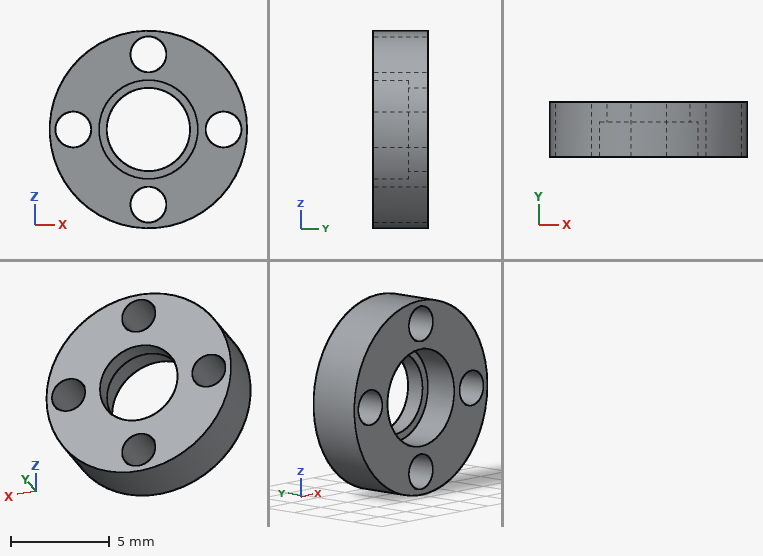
import cadquery as cq

outer_diameter = 10.0
thickness = 2.8

bore_diameter = 4.2
counterbore_diameter = 5.0
counterbore_depth = 1.8

bolt_hole_diameter = 1.8
bolt_circle_diameter = 7.6
bolt_hole_count = 4

front_y = -thickness / 2


def cylinder_from_front(diameter, depth):
    """Cylinder on the ring axis, running from the -Y face toward +Y."""
    return cq.Workplane("XZ", origin=(0, front_y, 0)).circle(diameter / 2).extrude(-depth)


def bolt_holes():
    """Through cylinders evenly spaced on the bolt circle."""
    return (
        cq.Workplane("XZ", origin=(0, front_y, 0))
        .polarArray(bolt_circle_diameter / 2, 0, 360, bolt_hole_count)
        .circle(bolt_hole_diameter / 2)
        .extrude(-thickness)
    )


ring = cylinder_from_front(outer_diameter, thickness)
ring = ring.cut(cylinder_from_front(bore_diameter, thickness))
ring = ring.cut(cylinder_from_front(counterbore_diameter, counterbore_depth))
result = ring.cut(bolt_holes())